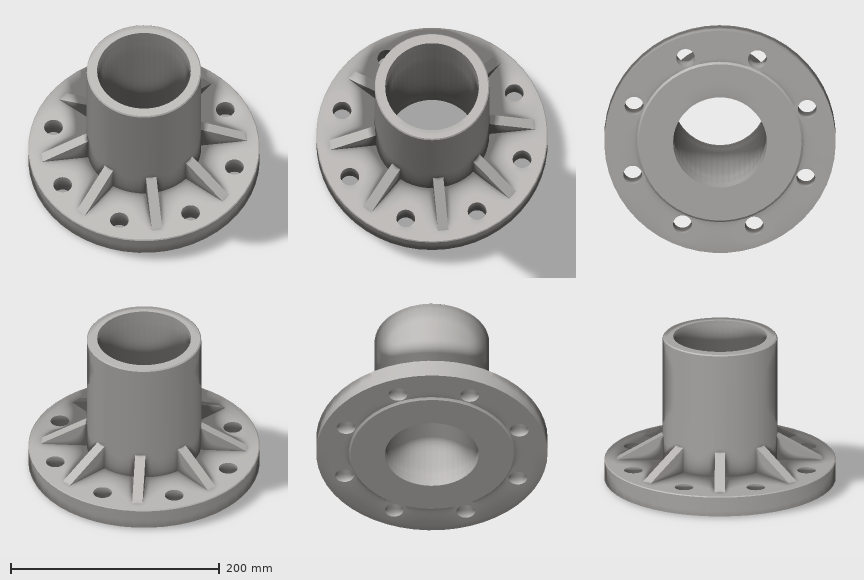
import cadquery as cq

flange_diameter = 222.0
flange_thickness = 20.0
flange_edge_chamfer = 0.9

face_diameter = 160.0
face_height = 2.0

tube_diameter = 110.0
bore_diameter = 90.0
total_height = 146.0
tube_rim_chamfer = 1.0

hole_count = 8
hole_diameter = 18.0
hole_circle_diameter = 179.8

rib_count = hole_count
rib_thickness = 10.0
rib_height = 25.3
rib_outer_radius = 99.2

flange_top = face_height + flange_thickness
tube_radius = tube_diameter / 2
wall_middle_radius = (tube_diameter + bore_diameter) / 4


def make_flange():
    """Flange disc with chamfered top edge and tapered raised face."""
    disc = (
        cq.Workplane("XY")
        .workplane(offset=face_height)
        .circle(flange_diameter / 2)
        .extrude(flange_thickness)
        .faces(">Z")
        .edges()
        .chamfer(flange_edge_chamfer)
    )
    face = (
        cq.Workplane("XY")
        .workplane(offset=face_height)
        .circle(face_diameter / 2)
        .extrude(-face_height, taper=45)
    )
    return disc.union(face)


def make_tube():
    """Solid tube body with a chamfered rim; the bore is cut later."""
    return (
        cq.Workplane("XY")
        .workplane(offset=face_height)
        .circle(tube_radius)
        .extrude(total_height - face_height)
        .faces(">Z")
        .edges()
        .chamfer(tube_rim_chamfer)
    )


def make_rib(angle):
    """Triangular rib from the flange to the tube, rooted inside the tube wall."""
    rib_top = flange_top + rib_height
    return (
        cq.Workplane("XZ")
        .moveTo(wall_middle_radius, flange_top)
        .lineTo(rib_outer_radius, flange_top)
        .lineTo(tube_radius, rib_top)
        .lineTo(wall_middle_radius, rib_top)
        .close()
        .extrude(rib_thickness / 2, both=True)
        .rotate((0, 0, 0), (0, 0, 1), angle)
    )


result = make_flange().union(make_tube())

rib_pitch = 360 / rib_count
for index in range(rib_count):
    result = result.union(make_rib((index + 0.5) * rib_pitch))

bore = cq.Workplane("XY").circle(bore_diameter / 2).extrude(total_height)
bolt_holes = (
    cq.Workplane("XY")
    .polarArray(hole_circle_diameter / 2, 0, 360, hole_count)
    .circle(hole_diameter / 2)
    .extrude(flange_top)
)
result = result.cut(bore).cut(bolt_holes)